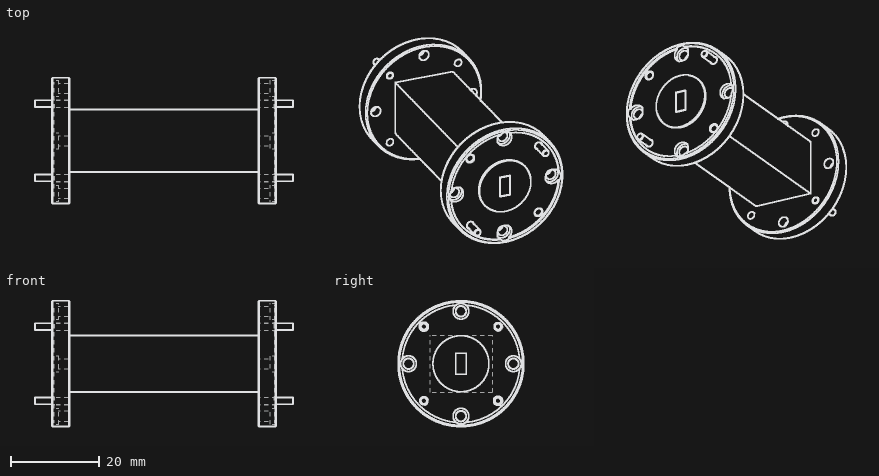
import cadquery as cq
import math

overall_length = 58.55
pin_protrusion = 3.8
flange_thickness = 4.15
flange_face_x = overall_length / 2 - pin_protrusion
flange_back_x = flange_face_x - flange_thickness

flange_diameter = 28.6
flange_chamfer = 0.3
boss_diameter = 12.7
rim_inner_diameter = 26.7
face_recess_depth = 0.45
recess_floor_x = flange_face_x - face_recess_depth

body_width = 14.2
body_height = 12.9

opening_width = 2.4
opening_height = 4.8
opening_depth = 0.25

pitch_radius = 11.9
bolt_hole_diameter = 2.35
counterbore_diameter = 3.6
counterbore_depth = 1.5
bolt_angles = [0, 90, 180, 270]

pin_diameter = 1.6
pin_chamfer = 0.1
pin_length = pin_protrusion + flange_thickness
pin_hole_chamfer = 0.1
dowel_hole_diameter = 1.7
dowel_hole_chamfer = 0.2

rising_diagonal = [45, 225]
falling_diagonal = [135, 315]
ends = [
    (-1, falling_diagonal, rising_diagonal),
    (1, rising_diagonal, falling_diagonal),
]


def x_cylinder(diameter, x_start, x_end, y=0.0, z=0.0):
    """Cylinder parallel to X between two X positions."""
    return (
        cq.Workplane("YZ", origin=(x_start, y, z))
        .circle(diameter / 2)
        .extrude(x_end - x_start)
    )


def on_pitch_circle(angle):
    """Y and Z of a point on the pitch circle; the angle runs from +Y to +Z."""
    a = math.radians(angle)
    return pitch_radius * math.cos(a), pitch_radius * math.sin(a)


def make_chamfered_hole(side, angle, diameter, chamfer):
    """Cutter for a through hole with a chamfered mouth at the recess floor."""
    y, z = on_pitch_circle(angle)
    back = side * flange_back_x
    floor = side * recess_floor_x
    bore = x_cylinder(diameter, back, floor, y, z)
    mouth = (
        cq.Workplane("YZ", origin=(floor - side * chamfer, y, z))
        .circle(diameter / 2)
        .workplane(offset=side * chamfer)
        .circle(diameter / 2 + chamfer)
        .loft()
    )
    return bore.union(mouth)


def make_flange(side, pin_angles, open_angles):
    """Flange at one end, with its face relief, opening and holes."""
    face = side * flange_face_x
    back = side * flange_back_x
    flange = x_cylinder(flange_diameter, back, face).edges().chamfer(flange_chamfer)

    recess_floor = side * recess_floor_x
    recess = x_cylinder(rim_inner_diameter, recess_floor, face)
    recess = recess.cut(x_cylinder(boss_diameter, recess_floor, face))
    flange = flange.cut(recess)

    opening = cq.Workplane("XY").box(2 * opening_depth, opening_width, opening_height)
    flange = flange.cut(opening.translate((face, 0, 0)))

    counterbore_floor = side * (flange_face_x - counterbore_depth)
    for angle in bolt_angles:
        y, z = on_pitch_circle(angle)
        flange = flange.cut(x_cylinder(bolt_hole_diameter, back, face, y, z))
        flange = flange.cut(x_cylinder(counterbore_diameter, counterbore_floor, face, y, z))

    for angle in pin_angles:
        flange = flange.cut(make_chamfered_hole(side, angle, pin_diameter, pin_hole_chamfer))
    for angle in open_angles:
        flange = flange.cut(make_chamfered_hole(side, angle, dowel_hole_diameter, dowel_hole_chamfer))
    return flange


def make_housing():
    """Rectangular body and both flanges as one solid."""
    housing = cq.Workplane("XY").box(2 * flange_back_x, body_width, body_height)
    for side, pin_angles, open_angles in ends:
        housing = housing.union(make_flange(side, pin_angles, open_angles))
    return housing


def make_pin(side, angle):
    """Dowel pin, flush with the flange back and chamfered at both ends."""
    start = side * flange_back_x
    tip = side * (flange_back_x + pin_length)
    pin = x_cylinder(pin_diameter, start, tip, *on_pitch_circle(angle))
    return pin.faces("|X").edges().chamfer(pin_chamfer)


housing = make_housing()
pins = [make_pin(side, angle) for side, pin_angles, _ in ends for angle in pin_angles]

result = cq.Compound.makeCompound([housing.val(), *[pin.val() for pin in pins]])